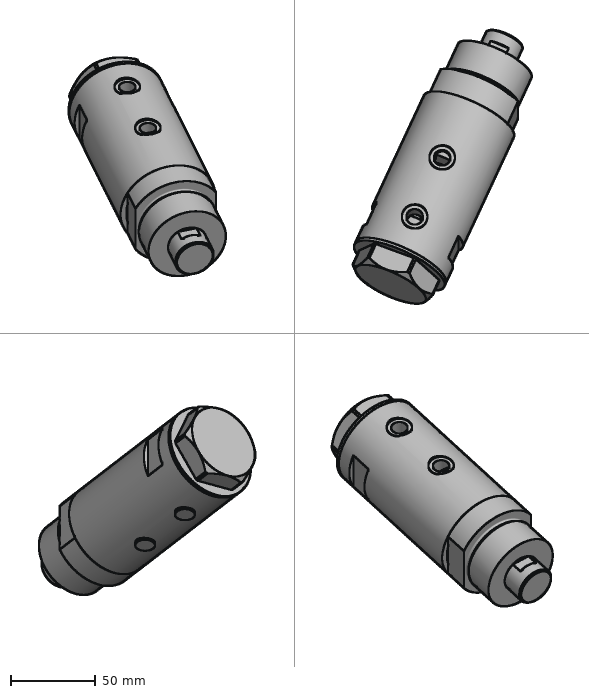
import cadquery as cq
import math

hex_end = 12.8
tube_start = 14.8
tube_end = 115.4
groove_start = 130.9
collar_start = 134.0
head_end = 153.5
rod_tip = 168.5

outer_radius = 29.5
collar_radius = 24.0
groove_radius = 23.0
rod_radius = 12.0

hex_across_flats = 46.0
hex_corner_radius = 26.1
hex_face_radius = 22.9
hex_turn = 7.2

main_bore_radius = 18.9
head_bore_radius = 26.0
cap_spigot_end = 38.2
piston_end = 72.0
head_bore_start = 77.3

tube_flat_start = 25.0
tube_flat_end = 39.7
tube_flat_offset = 26.5
head_flat_offset = 25.1
rod_flat_end = 160.7
rod_flat_offset = 10.5

port_places = (35.4, 76.0)
port_radius = 4.9
seat_radius = 7.5
seat_height = 28.3
boss_places = (38.9, 79.2)
boss_radius = 5.9
boss_bottom = -30.7

groove_fillet = 0.7
collar_chamfer_length = 1.0
collar_chamfer_depth = 0.7
rod_chamfer = 0.8


def turned(radius, start, end):
    """Solid cylinder on the X axis."""
    return cq.Workplane("YZ", origin=(start, 0, 0)).circle(radius).extrude(end - start)


def upright(radius, place, bottom, top):
    """Solid cylinder parallel to Z that crosses the X axis at the given place."""
    return cq.Workplane("XY", origin=(place, 0, bottom)).circle(radius).extrude(top - bottom)


def cut_side_flats(body, start, end, offset):
    """Cut flats facing -Y and +Y at the given distance from the axis."""
    for side in (-1, 1):
        flat = (
            cq.Workplane("XY")
            .box(end - start, outer_radius, 2 * outer_radius)
            .translate(((start + end) / 2, side * (offset + outer_radius / 2), 0))
        )
        body = body.cut(flat)
    return body


def make_cap():
    """Hex head with trimmed, chamfered corners, a flange and a spigot that closes the bore."""
    corner_diameter = hex_across_flats / math.cos(math.pi / 6)
    hexagon = cq.Workplane("YZ").polygon(6, corner_diameter).extrude(hex_end)
    hexagon = hexagon.rotate((0, 0, 0), (1, 0, 0), -hex_turn)
    corner_chamfer = hex_corner_radius - hex_face_radius
    corner_trim = turned(hex_corner_radius, 0, hex_end).faces("<X").chamfer(corner_chamfer)
    flange = turned(outer_radius, hex_end, tube_start)
    spigot = turned(main_bore_radius, tube_start, cap_spigot_end)
    return hexagon.intersect(corner_trim).union(flange).union(spigot)


def make_tube():
    """Stepped-bore cylinder with two top ports, two bottom bosses and a pair of flats."""
    tube = turned(outer_radius, tube_start, tube_end)
    for place in boss_places:
        tube = tube.union(upright(boss_radius, place, boss_bottom, 0))
    tube = tube.cut(turned(main_bore_radius, tube_start, tube_end))
    tube = tube.cut(turned(head_bore_radius, head_bore_start, tube_end))
    for place in port_places:
        tube = tube.cut(upright(port_radius, place, 0, outer_radius))
        tube = tube.cut(upright(seat_radius, place, seat_height, outer_radius))
    return cut_side_flats(tube, tube_flat_start, tube_flat_end, tube_flat_offset)


def make_head():
    """Rod guide: spigot in the tube, flatted flange, relief groove and end collar."""
    chamfer_start = collar_start - collar_chamfer_length
    head = (
        cq.Workplane("XY")
        .moveTo(head_bore_start, rod_radius)
        .lineTo(head_bore_start, head_bore_radius)
        .lineTo(tube_end, head_bore_radius)
        .lineTo(tube_end, outer_radius)
        .lineTo(groove_start, outer_radius)
        .lineTo(groove_start, groove_radius + groove_fillet)
        .radiusArc((groove_start + groove_fillet, groove_radius), -groove_fillet)
        .lineTo(chamfer_start, groove_radius)
        .lineTo(chamfer_start, collar_radius - collar_chamfer_depth)
        .lineTo(collar_start, collar_radius)
        .lineTo(head_end, collar_radius)
        .lineTo(head_end, rod_radius)
        .close()
        .revolve(360, (0, 0, 0), (1, 0, 0))
    )
    return cut_side_flats(head, tube_end, groove_start, head_flat_offset)


def make_piston_rod():
    """Piston and rod in one piece, with flats on the top and bottom of the rod behind its tip."""
    piston = turned(main_bore_radius, cap_spigot_end, piston_end)
    rod = turned(rod_radius, piston_end, rod_tip).faces(">X").chamfer(rod_chamfer)
    flatted = turned(rod_radius, head_end, rod_flat_end)
    between_flats = (
        cq.Workplane("XY")
        .box(rod_flat_end - head_end, 2 * rod_radius, 2 * rod_flat_offset)
        .translate(((head_end + rod_flat_end) / 2, 0, 0))
    )
    return piston.union(rod.cut(flatted.cut(between_flats)))


cap = make_cap()
tube = make_tube()
head = make_head()
piston_rod = make_piston_rod()

bodies = (cap, tube, head, piston_rod)
result = cq.Compound.makeCompound([body.solids().val() for body in bodies])